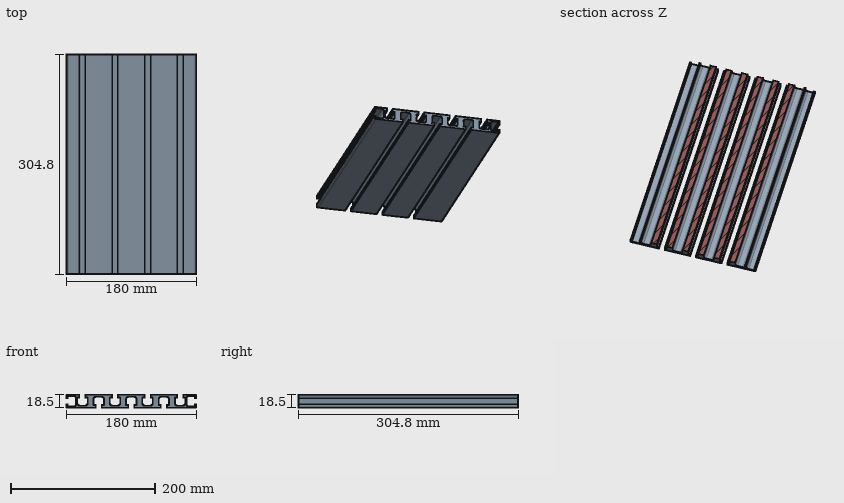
import cadquery as cq

WIDTH = 180.0
LENGTH = 304.8
HEIGHT = 18.5
CORNER_RADIUS = 1.8

SLOT_PITCH = 45.0
SLOT_OPENING = 8.2
SLOT_CAVITY_WIDTH = 14.0
SLOT_LIP = 4.3
SLOT_FLOOR = 3.5
SLOT_RADIUS = 3.0
TOP_SLOT_POSITIONS = [SLOT_PITCH * step for step in (-1.5, -0.5, 0.5, 1.5)]
BOTTOM_SLOT_POSITIONS = [SLOT_PITCH * step for step in (-1, 0, 1)]

EDGE_OPENING = 8.5
EDGE_LIP = 2.0
EDGE_WALL = 2.0
EDGE_WEB = 2.0
EDGE_RADIUS = 2.7


def bar(x_min, x_max, z_min, z_max):
    """Full-length rectangular bar."""
    return cq.Workplane("XY").box(
        x_max - x_min, LENGTH, z_max - z_min, centered=False
    ).translate((x_min, -LENGTH / 2, z_min))


def top_slot(x_center):
    """T-slot opening upward, with rounded corners along its floor."""
    half_cavity = SLOT_CAVITY_WIDTH / 2
    half_opening = SLOT_OPENING / 2
    floor_z = -HEIGHT / 2 + SLOT_FLOOR
    lip_z = HEIGHT / 2 - SLOT_LIP
    cavity = bar(x_center - half_cavity, x_center + half_cavity, floor_z, lip_z)
    cavity = cavity.faces("<Z").edges("|Y").fillet(SLOT_RADIUS)
    opening = bar(x_center - half_opening, x_center + half_opening, lip_z, HEIGHT / 2)
    return cavity.union(opening)


def bottom_slot(x_center):
    """T-slot opening downward, the top slot mirrored."""
    return top_slot(x_center).mirror("XY")


def left_edge_slot():
    """T-slot opening toward -X, a thin web away from the outermost top slot."""
    outer_slot_wall = TOP_SLOT_POSITIONS[0] - SLOT_CAVITY_WIDTH / 2
    inner_x = outer_slot_wall - EDGE_WEB
    half_cavity = HEIGHT / 2 - EDGE_WALL
    cavity = bar(-WIDTH / 2 + EDGE_LIP, inner_x, -half_cavity, half_cavity)
    cavity = cavity.faces(">X").edges("|Y").fillet(EDGE_RADIUS)
    opening = bar(-WIDTH / 2, inner_x, -EDGE_OPENING / 2, EDGE_OPENING / 2)
    return cavity.union(opening)


plate = bar(-WIDTH / 2, WIDTH / 2, -HEIGHT / 2, HEIGHT / 2)
plate = plate.edges("|Y").fillet(CORNER_RADIUS)

for position in TOP_SLOT_POSITIONS:
    plate = plate.cut(top_slot(position))

for position in BOTTOM_SLOT_POSITIONS:
    plate = plate.cut(bottom_slot(position))

edge_slot = left_edge_slot()
plate = plate.cut(edge_slot).cut(edge_slot.mirror("YZ"))

result = plate